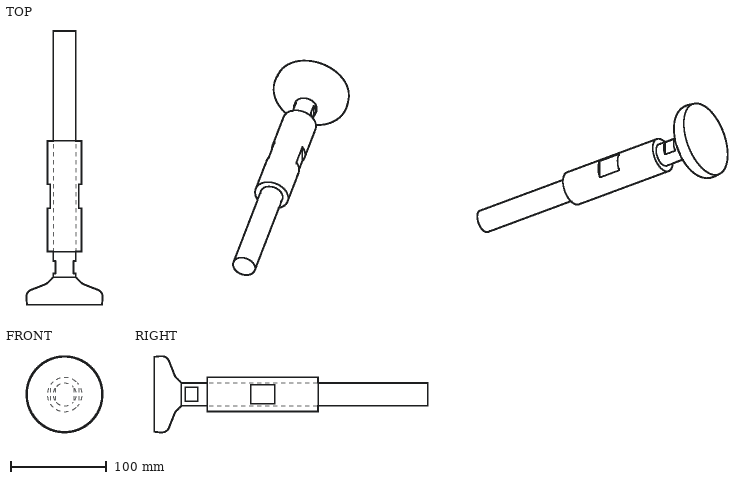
import cadquery as cq
import math


spindle_diameter = 24.0
exposed_spindle_length = 115.0
spindle_flat_width = 19.0
spindle_flat_start = 32.8
spindle_flat_length = 13.0

sleeve_diameter = 36.0
sleeve_start = 55.5
sleeve_length = 116.0
sleeve_flat_width = 30.0
sleeve_flat_length = 25.0
sleeve_flat_start = sleeve_start + (sleeve_length - sleeve_flat_length) / 2

spindle_top = sleeve_start + sleeve_length + exposed_spindle_length

foot_diameter = 80.0
base_diameter = 78.5
rim_start = 6.0
rim_end = 8.3
round_radius = 8.0
slope_angle = math.radians(21.6)
neck_angle = math.radians(45.0)
neck_top = 28.7


def cylinder(diameter, start, length):
    """Solid cylinder along +Y from y = start."""
    return cq.Workplane("XZ", origin=(0, start, 0)).circle(diameter / 2).extrude(-length)


def cut_flats(body, diameter, width, start, length):
    """Mill two parallel wrench flats, facing -X and +X."""
    depth = (diameter - width) / 2
    for side in (-1, 1):
        cutter = (
            cq.Workplane("XY")
            .box(depth, length, diameter)
            .translate((side * (width + depth) / 2, start + length / 2, 0))
        )
        body = body.cut(cutter)
    return body


def make_foot():
    """Foot and spindle turned in one piece; profile points are (y, radius)."""
    foot_radius = foot_diameter / 2
    spindle_radius = spindle_diameter / 2

    shoulder_center_radius = foot_radius - round_radius
    shoulder_end = (
        rim_end + round_radius * math.cos(slope_angle),
        shoulder_center_radius + round_radius * math.sin(slope_angle),
    )

    slope = math.tan(slope_angle)
    neck_slope = math.tan(neck_angle)
    rise = neck_top - shoulder_end[0]
    corner_radius = (rise + neck_slope * spindle_radius - slope * shoulder_end[1]) / (neck_slope - slope)
    corner_y = neck_top - neck_slope * (corner_radius - spindle_radius)
    tangent_length = round_radius * math.tan((neck_angle - slope_angle) / 2)
    slope_end = (
        corner_y - tangent_length * math.sin(slope_angle),
        corner_radius + tangent_length * math.cos(slope_angle),
    )
    neck_start = (
        corner_y + tangent_length * math.sin(neck_angle),
        corner_radius - tangent_length * math.cos(neck_angle),
    )

    profile = (
        cq.Workplane("YZ")
        .lineTo(0, base_diameter / 2)
        .lineTo(rim_start, foot_radius)
        .lineTo(rim_end, foot_radius)
        .tangentArcPoint(shoulder_end, relative=False)
        .lineTo(*slope_end)
        .tangentArcPoint(neck_start, relative=False)
        .lineTo(neck_top, spindle_radius)
        .lineTo(spindle_top, spindle_radius)
        .lineTo(spindle_top, 0)
        .close()
    )
    turned = profile.revolve(360, (0, 0, 0), (1, 0, 0))
    return cut_flats(turned, spindle_diameter, spindle_flat_width, spindle_flat_start, spindle_flat_length)


def make_sleeve():
    """Sleeve with a through bore that fits the spindle."""
    sleeve = cylinder(sleeve_diameter, sleeve_start, sleeve_length)
    sleeve = sleeve.cut(cylinder(spindle_diameter, sleeve_start, sleeve_length))
    return cut_flats(sleeve, sleeve_diameter, sleeve_flat_width, sleeve_flat_start, sleeve_flat_length)


foot = make_foot()
sleeve = make_sleeve()

result = cq.Compound.makeCompound([foot.val(), sleeve.val()])